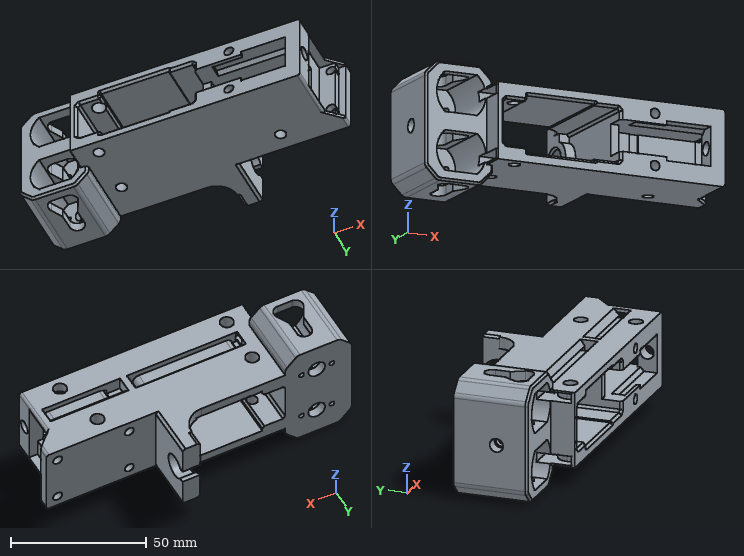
import cadquery as cq
import math

overshoot = 1.2
pick_margin = 0.1

body_left = 25.2
body_right = 118.9
body_half_height = 14.8
body_back = 38.7
tail_end = 124.8
tail_back = 32.3
tail_front = 28.0
tail_slope_start = tail_front - (tail_end - body_right)
end_round = 1.1

finger_left = 71.6
finger_right = 79.0
finger_tip = 53.5
finger_fillet = 8.4
finger_bevel_x = 1.2
finger_bevel_z = 0.7

head_width = 28.0
head_half_height = 22.8
head_front = 9.5
head_corner = 5.1
head_corner_round = 2.6
head_front_bevel = 0.9
socket_x = 14.7
socket_z = 11.2
socket_radius = 10.1
socket_half_flat = 7.7
socket_floor = 34.9
shaft_radius = 3.5
pin_radius = 1.0
pin_offset = 6.4

keyhole_radius = 3.0
keyhole_front = 13.5
keyhole_neck_y = 22.7
keyhole_end_y = 28.7
keyhole_foot_half = 8.0

side_hole_y = 21.7
side_hole_radius = 2.0
side_bore_radius = 2.6
side_bore_depth = 5.0
side_hole_depth = 7.5

cavity_left = 28.0
cavity_right = 75.7
narrow_end = 36.7
wide_start = 37.5
wide_end = 65.2
narrow_half = 8.7
wide_half = 10.9
right_half = 10.2
cavity_corner = 1.0
cavity_lead_in = 1.0
lead_in_angle = 45
cavity_back = 43.2

boss_y = 44.8
boss_radius = 7.1
rod_y = 47.4
rod_radius = 5.0
rod_lead_in = 0.9
rod_gap_half = 2.7

pocket_half = 6.1
pocket_front_right = 112.9
pocket_wide_right = 115.3
pocket_throat_back = 8.1
pocket_wall_front = 7.7
pocket_back = 18.0
back_groove_depth = 0.6
recess_half = 7.6
recess_left = 82.6
recess_mouth_left = 94.8
recess_lip = 1.5
recess_floor_end = 5.1

slot_front = 11.2
slot_back = 18.0
slot_left = 33.4
slot_left_end = 79.7
slot_left_lean = 1.7
slot_right_lean = 2.4
slot_floor = 12.4
slot_left_steps = (35.7, 77.3)
slot_left_step_radius = 2.6
slot_right_steps = (88.3, 115.5)
slot_right_step_radius = 3.0

end_recess_half = 13.3
end_recess_back = 25.0
end_step_x = 121.8
end_hole_y = 4.0
end_hole_radius = 2.6

upper_hole_radius = 2.6
lower_hole_radius = 2.1
front_hole_y = 5.2
cross_holes = ((34.5, 25.1), (99.4, 25.1), (34.5, front_hole_y))
blind_hole_x = 104.5
blind_bore_floor = 10.6
blind_hole_floor = 8.7
mount_hole_radius = 1.9
mount_hole_z = 10.0
mount_hole_x = 90.0
tail_hole_x = 120.0

channel_inner_z = 10.5
channel_outer_z = 14.1
channel_start = 23.7
channel_front = 1.5
channel_depth_x = 29.0
channel_bend_y = 4.6
channel_bend_radius = 5.1
channel_back = 15.0


def block(x_range, y_range, z_range):
    """Axis-aligned box given by its limits."""
    size = [high - low for low, high in (x_range, y_range, z_range)]
    low_corner = (x_range[0], y_range[0], z_range[0])
    return cq.Workplane("XY").box(*size, centered=False).translate(low_corner)


def rod_along(axis, center, radius, start, end):
    """Cylinder along X, Y or Z; center holds the other two coordinates in XYZ order."""
    origins = {
        "X": (start, *center),
        "Y": (center[0], start, center[1]),
        "Z": (*center, start),
    }
    directions = {"X": (1, 0, 0), "Y": (0, 1, 0), "Z": (0, 0, 1)}
    solid = cq.Solid.makeCylinder(
        radius, end - start, cq.Vector(*origins[axis]), cq.Vector(*directions[axis])
    )
    return cq.Workplane(obj=solid)


def prism_along_x(points, start, end):
    """Extrude a closed YZ outline along X."""
    return cq.Workplane("YZ", origin=(start, 0, 0)).polyline(points).close().extrude(end - start)


def mirrored(cutter):
    """The shape together with its mirror image across Z = 0."""
    return cutter.union(cutter.mirror("XY"))


def make_body():
    diagonal = finger_fillet * math.sqrt(0.5)
    fillet_x = finger_left - finger_fillet
    fillet_y = body_back + finger_fillet
    body = (
        cq.Workplane("XY", origin=(0, 0, -body_half_height))
        .moveTo(body_left, 0)
        .lineTo(body_right, 0)
        .lineTo(body_right, tail_slope_start)
        .lineTo(tail_end, tail_front)
        .lineTo(tail_end, tail_back)
        .lineTo(finger_right, tail_back)
        .lineTo(finger_right, finger_tip)
        .lineTo(finger_left, finger_tip)
        .lineTo(finger_left, fillet_y)
        .threePointArc((fillet_x + diagonal, fillet_y - diagonal), (fillet_x, body_back))
        .lineTo(body_left, body_back)
        .close()
        .extrude(2 * body_half_height)
    )
    for face_x in (body_right, tail_end):
        edge_zone = cq.selectors.BoxSelector(
            (face_x - pick_margin, 0, -body_half_height - pick_margin),
            (face_x + pick_margin, tail_back, body_half_height + pick_margin),
        )
        body = body.edges(edge_zone).edges("|Y").fillet(end_round)
    for edge_x, inward, start_y in ((finger_left, 1, fillet_y), (finger_right, -1, tail_back)):
        bevel = (
            cq.Workplane("XZ", origin=(0, finger_tip, 0))
            .moveTo(edge_x, body_half_height)
            .lineTo(edge_x + inward * finger_bevel_x, body_half_height)
            .lineTo(edge_x, body_half_height - finger_bevel_z)
            .close()
            .extrude(finger_tip - start_y)
        )
        body = body.cut(mirrored(bevel))
    return body


def make_head():
    head = block((0, head_width), (head_front, body_back), (-head_half_height, head_half_height))
    head = head.edges("|Y").chamfer(head_corner)
    head = head.edges("|Y").fillet(head_corner_round)
    return head.faces("<Y").chamfer(head_front_bevel)


def head_cutters():
    socket = rod_along("Y", (socket_x, socket_z), socket_radius, 0, socket_floor).intersect(
        block(
            (0, head_width),
            (0, socket_floor),
            (socket_z - socket_half_flat, socket_z + socket_half_flat),
        )
    )
    socket = socket.intersect(block((0, body_left), (0, socket_floor), (0, head_half_height)))
    back = body_back + overshoot
    socket = socket.union(rod_along("Y", (socket_x, socket_z), shaft_radius, head_front, back))
    for offset in (-pin_offset, pin_offset):
        socket = socket.union(rod_along("Y", (socket_x + offset, socket_z), pin_radius, head_front, back))

    keyhole = (
        cq.Workplane("XY", origin=(socket_x, 0, -head_half_height))
        .polyline(
            [
                (-keyhole_foot_half, keyhole_front),
                (keyhole_foot_half, keyhole_front),
                (keyhole_radius, keyhole_neck_y),
                (-keyhole_radius, keyhole_neck_y),
            ]
        )
        .close()
        .extrude(2 * head_half_height)
        .edges("|Z and <Y")
        .fillet(keyhole_radius)
    )
    keyhole = keyhole.union(
        block(
            (socket_x - keyhole_radius, socket_x + keyhole_radius),
            (keyhole_neck_y, keyhole_end_y),
            (-head_half_height, head_half_height),
        )
    ).union(
        rod_along("Z", (socket_x, keyhole_end_y), keyhole_radius, -head_half_height, head_half_height)
    )

    side_hole = rod_along("X", (side_hole_y, 0), side_bore_radius, 0, side_bore_depth).union(
        rod_along("X", (side_hole_y, 0), side_hole_radius, 0, side_hole_depth)
    )
    return [mirrored(socket), keyhole, side_hole]


def cavity_cutter():
    upper = [
        (cavity_left, narrow_half - cavity_corner),
        (cavity_left + cavity_corner, narrow_half),
        (narrow_end, narrow_half),
        (wide_start, narrow_half + cavity_corner),
        (wide_start, wide_half),
        (wide_end, wide_half),
        (wide_end, right_half),
        (cavity_right - cavity_corner, right_half),
        (cavity_right, right_half - cavity_corner),
    ]
    outline = upper + [(x, -z) for x, z in reversed(upper)]
    straight = cq.Workplane("XZ").polyline(outline).close().extrude(-cavity_back)
    lead_in = (
        cq.Workplane("XZ", origin=(0, cavity_lead_in, 0))
        .polyline(outline)
        .close()
        .extrude(cavity_lead_in, taper=-lead_in_angle)
    )
    boss = rod_along("X", (boss_y, 0), boss_radius, finger_left, cavity_right)
    fillet_passage = block(
        (cavity_right - finger_fillet - overshoot, finger_left),
        (body_back - overshoot, body_back + finger_fillet),
        (-right_half, right_half),
    )
    return straight.union(lead_in).cut(boss).union(fillet_passage)


def rod_seat_cutter():
    right = finger_right + overshoot
    seat = rod_along("X", (rod_y, 0), rod_radius, finger_left - overshoot, right)
    cone = cq.Solid.makeCone(
        rod_radius + rod_lead_in,
        rod_radius,
        rod_lead_in,
        cq.Vector(finger_left, rod_y, 0),
        cq.Vector(1, 0, 0),
    )
    gap = block(
        (finger_left - overshoot, right), (rod_y, finger_tip + overshoot), (-rod_gap_half, rod_gap_half)
    )
    return seat.union(cq.Workplane(obj=cone)).union(gap)


def pocket_cutters():
    height = (-pocket_half, pocket_half)
    throat = block((cavity_right - overshoot, finger_right), (0, pocket_throat_back), height)
    chamber = block((finger_right, pocket_front_right), (0, pocket_back), height)
    rear = block((finger_right, pocket_wide_right), (pocket_wall_front, pocket_back), height)
    groove = block(
        (mount_hole_x - mount_hole_radius, mount_hole_x + mount_hole_radius),
        (0, pocket_back + back_groove_depth),
        height,
    )
    ramp_end = recess_floor_end + recess_half - pocket_half
    recess = prism_along_x(
        [
            (recess_lip, 0),
            (recess_lip, recess_half),
            (recess_floor_end, recess_half),
            (ramp_end, pocket_half),
            (ramp_end, 0),
        ],
        recess_left,
        pocket_front_right,
    )
    mouth = block((recess_mouth_left, pocket_front_right), (0, recess_lip), (0, recess_half))
    return [throat, chamber, rear, groove, mirrored(recess.union(mouth))]


def slot_cutter(start, end, lean, rise_x, fall_x, step_radius):
    """Slot with a raised floor between two quarter-round steps and a leaning back wall."""
    low = slot_floor - step_radius
    diagonal = step_radius * math.sqrt(0.5)
    rise_center = rise_x + step_radius
    fall_center = fall_x - step_radius
    full = (
        cq.Workplane("XZ", origin=(0, slot_front, 0))
        .moveTo(start, body_half_height)
        .lineTo(start, low)
        .lineTo(rise_x, low)
        .threePointArc((rise_center - diagonal, low + diagonal), (rise_center, slot_floor))
        .lineTo(fall_center, slot_floor)
        .threePointArc((fall_center + diagonal, low + diagonal), (fall_x, low))
        .lineTo(end, low)
        .lineTo(end, body_half_height)
        .close()
        .extrude(slot_front - slot_back)
    )
    profile = [
        (slot_front, body_half_height),
        (slot_back, body_half_height),
        (slot_back - lean, slot_floor),
        (slot_back - lean, 0),
        (slot_front, 0),
    ]
    return full.intersect(prism_along_x(profile, start, end))


def slot_cutters():
    left_slot = slot_cutter(
        slot_left, slot_left_end, slot_left_lean, *slot_left_steps, slot_left_step_radius
    )
    right_slot = slot_cutter(
        recess_left,
        pocket_wide_right + overshoot,
        slot_right_lean,
        *slot_right_steps,
        slot_right_step_radius,
    )
    right_limit = block((recess_left, pocket_wide_right), (0, body_back), (0, body_half_height))
    return [left_slot, right_slot.intersect(right_limit)]


def end_cutters():
    recess = block(
        (pocket_wide_right, tail_end + overshoot),
        (pocket_wall_front, end_recess_back),
        (-end_recess_half, end_recess_half),
    )
    step = block(
        (end_step_x, tail_end + overshoot),
        (end_recess_back, tail_front),
        (-end_recess_half, end_recess_half),
    )
    end_hole = rod_along("X", (end_hole_y, 0), end_hole_radius, pocket_front_right - overshoot, body_right)
    return [recess, step, end_hole]


def screw_hole_cutters():
    cutters = []
    for center in cross_holes:
        cutters.append(rod_along("Z", center, upper_hole_radius, 0, body_half_height))
        cutters.append(rod_along("Z", center, lower_hole_radius, -body_half_height, 0))
    blind_center = (blind_hole_x, front_hole_y)
    cutters.append(rod_along("Z", blind_center, upper_hole_radius, blind_bore_floor, body_half_height))
    cutters.append(rod_along("Z", blind_center, lower_hole_radius, blind_hole_floor, body_half_height))
    for x, start_y in ((mount_hole_x, 0), (tail_hole_x, pocket_back)):
        hole = rod_along("Y", (x, mount_hole_z), mount_hole_radius, start_y, tail_back)
        cutters.append(mirrored(hole))
    return cutters


def channel_cutter():
    bend_x = channel_depth_x + channel_bend_radius
    diagonal = channel_bend_radius * math.sqrt(0.5)
    channel = (
        cq.Workplane("XY", origin=(0, 0, channel_inner_z))
        .moveTo(channel_start, channel_front)
        .lineTo(channel_depth_x, channel_front)
        .lineTo(channel_depth_x, channel_bend_y)
        .threePointArc(
            (bend_x - diagonal, channel_bend_y + diagonal), (bend_x, channel_bend_y + channel_bend_radius)
        )
        .lineTo(bend_x, channel_back)
        .lineTo(channel_start, channel_back)
        .close()
        .extrude(channel_outer_z - channel_inner_z)
    )
    return mirrored(channel)


result = make_body().union(make_head())
cutters = (
    head_cutters()
    + [cavity_cutter(), rod_seat_cutter(), channel_cutter()]
    + pocket_cutters()
    + slot_cutters()
    + end_cutters()
    + screw_hole_cutters()
)
for cutter in cutters:
    result = result.cut(cutter)